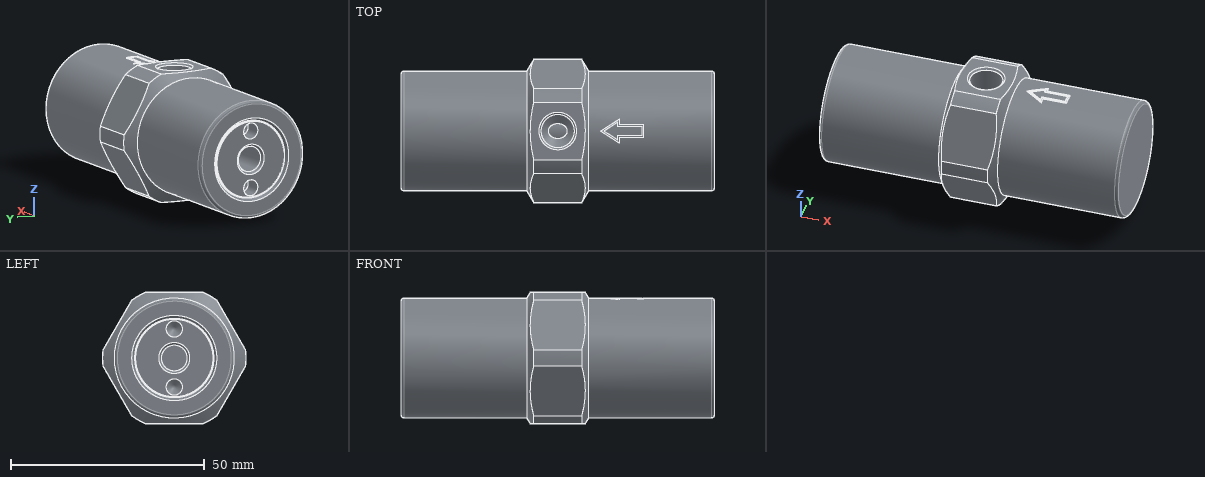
import cadquery as cq
import math

body_length = 81.0
body_diameter = 31.0
end_round_radius = 0.8

collar_length = 16.0
across_flats = 34.0
collar_diameter = 37.1
collar_base_diameter = body_diameter
collar_chamfer_axial = 1.8

recess_mouth_diameter = 22.0
recess_cone_end_diameter = 20.5
plug_diameter = 20.0
plug_face_depth = 0.5
groove_depth = 0.9

mount_hole_diameter = 6.65
mount_hole_mouth_diameter = 8.0
mount_hole_depth = 12.0

spanner_hole_diameter = 4.2
spanner_hole_offset = 7.5
spanner_hole_depth = 5.0

port_diameter = 8.57
port_mouth_diameter = 9.7
port_floor_length = 4.9
piston_diameter = 12.0

drill_tip_angle = 118.0

arrow_tip_x = 11.1
arrow_head_length = 4.8
arrow_length = 11.1
arrow_head_width = 6.2
arrow_shaft_width = 3.3
arrow_line_width = 0.45
arrow_depth = 0.2

body_radius = body_diameter / 2
end_x = body_length / 2
plug_face_x = -end_x + plug_face_depth
tip_slope = 1 / math.tan(math.radians(drill_tip_angle / 2))


def revolve_about_x(points):
    """Turn a closed (x, radius) outline about the X axis."""
    return cq.Workplane("XY").polyline(points).close().revolve(360, (0, 0, 0), (1, 0, 0))


def cylinder_along_x(diameter, length, start_x):
    return cq.Workplane("YZ").workplane(offset=start_x).circle(diameter / 2).extrude(length)


def make_body():
    body = cylinder_along_x(body_diameter, body_length, -end_x)
    return body.faces("<X or >X").edges().fillet(end_round_radius)


def make_collar():
    """Hexagon with flats facing +Z and -Z, turned to a rounded, cone-ended collar."""
    half_length = collar_length / 2
    cone_x = half_length - collar_chamfer_axial
    corner_diameter = across_flats / math.cos(math.pi / 6)
    hexagon = (
        cq.Workplane("YZ")
        .workplane(offset=-half_length)
        .polygon(6, corner_diameter)
        .extrude(collar_length)
    )
    turned_blank = revolve_about_x([
        (-half_length, 0),
        (-half_length, collar_base_diameter / 2),
        (-cone_x, collar_diameter / 2),
        (cone_x, collar_diameter / 2),
        (half_length, collar_base_diameter / 2),
        (half_length, 0),
    ])
    return hexagon.intersect(turned_blank)


def make_recess():
    """45 degree cone down to the groove that surrounds the plug."""
    recess_cone_depth = (recess_mouth_diameter - recess_cone_end_diameter) / 2
    return revolve_about_x([
        (-end_x, 0),
        (-end_x, recess_mouth_diameter / 2),
        (-end_x + recess_cone_depth, recess_cone_end_diameter / 2),
        (-end_x + groove_depth, recess_cone_end_diameter / 2),
        (-end_x + groove_depth, plug_diameter / 2),
        (plug_face_x, plug_diameter / 2),
        (plug_face_x, 0),
    ])


def make_mount_hole():
    """Flat-bottomed hole with a 45 degree countersunk mouth."""
    hole_radius = mount_hole_diameter / 2
    mouth_radius = mount_hole_mouth_diameter / 2
    return revolve_about_x([
        (plug_face_x, 0),
        (plug_face_x, mouth_radius),
        (plug_face_x + mouth_radius - hole_radius, hole_radius),
        (plug_face_x + mount_hole_depth, hole_radius),
        (plug_face_x + mount_hole_depth, 0),
    ])


def make_spanner_hole(height):
    radius = spanner_hole_diameter / 2
    drill = revolve_about_x([
        (plug_face_x, 0),
        (plug_face_x, radius),
        (plug_face_x + spanner_hole_depth, radius),
        (plug_face_x + spanner_hole_depth + radius * tip_slope, 0),
    ])
    return drill.translate((0, 0, height))


def make_port():
    """Countersunk port with a conical bottom, ending on the piston surface."""
    flat_z = across_flats / 2
    radius = port_diameter / 2
    mouth_radius = port_mouth_diameter / 2
    tip_z = piston_diameter / 2 - port_floor_length / 2 * tip_slope
    drill = (
        cq.Workplane("XZ")
        .polyline([
            (0, tip_z),
            (radius, tip_z + radius * tip_slope),
            (radius, flat_z - (mouth_radius - radius)),
            (mouth_radius, flat_z),
            (0, flat_z),
        ])
        .close()
        .revolve(360, (0, 0, 0), (0, 1, 0))
    )
    piston = cylinder_along_x(piston_diameter, collar_length, -collar_length / 2)
    return drill.cut(piston)


def make_arrow():
    """Outline of an arrow pointing to -X, as a shallow groove under the round surface."""
    head_x = arrow_tip_x + arrow_head_length
    tail_x = arrow_tip_x + arrow_length
    head_y = arrow_head_width / 2
    shaft_y = arrow_shaft_width / 2
    outline = cq.Workplane("XY").polyline([
        (arrow_tip_x, 0),
        (head_x, head_y),
        (head_x, shaft_y),
        (tail_x, shaft_y),
        (tail_x, -shaft_y),
        (head_x, -shaft_y),
        (head_x, -head_y),
    ]).close()
    arrow = outline.extrude(body_diameter)
    island = outline.wires().toPending().offset2D(-arrow_line_width, "intersection").extrude(body_diameter)
    core = cylinder_along_x(body_diameter - 2 * arrow_depth, body_length, -end_x)
    return arrow.cut(island).cut(core)


result = make_body().union(make_collar())
result = result.cut(make_recess()).cut(make_mount_hole())
for side in (-1, 1):
    result = result.cut(make_spanner_hole(side * spanner_hole_offset))
result = result.cut(make_port())
result = result.cut(make_arrow())